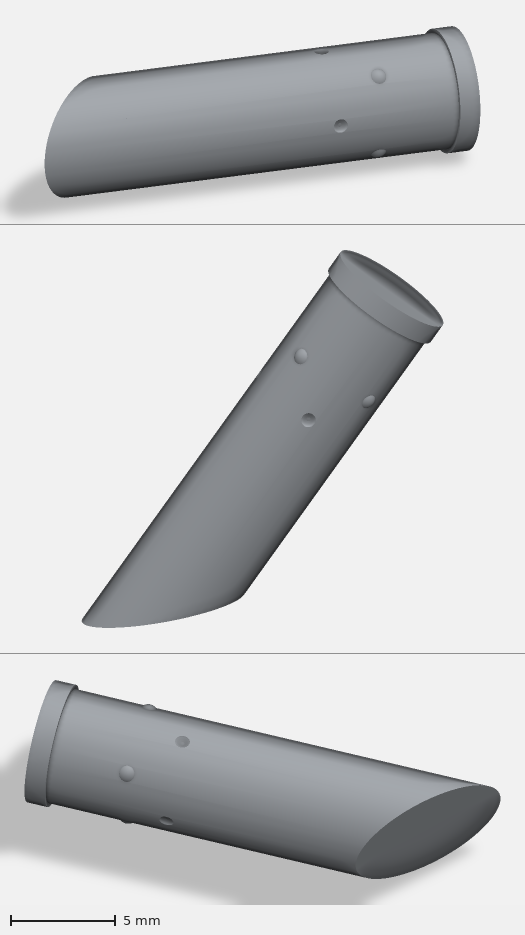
import cadquery as cq
import math

length = 22.0
flange_diameter = 6.0
flange_thickness = 1.01
body_diameter = 5.6
bevel_angle = 45.0

bump_distance = 4.8
bump_diameter = 0.8
bump_height = 0.15
dimple_distance = 7.0
dimple_diameter = 0.7
dimple_floor_diameter = 0.2
dimple_depth = 0.18
features_around = 4

body_radius = body_diameter / 2
bevel_length = body_diameter / math.tan(math.radians(bevel_angle))


def stepped_body():
    """Round rod with a thin flange at its +Y end, starting at Y = 0."""
    rod = cq.Workplane("XZ").circle(body_radius).extrude(-length)
    flange = (
        cq.Workplane("XZ", origin=(0, length, 0))
        .circle(flange_diameter / 2)
        .extrude(flange_thickness)
    )
    return rod.union(flange)


def bevel_cutter():
    """Wedge that slants the -Y end, leaving its tip on the +X side."""
    return (
        cq.Workplane("XY")
        .moveTo(-body_radius, 0)
        .lineTo(body_radius, 0)
        .lineTo(-body_radius, bevel_length)
        .close()
        .extrude(body_diameter, both=True)
    )


def bump():
    """Ball whose cap stands out of the rod on its +Z side."""
    rim_radius = bump_diameter / 2
    rim_level = math.sqrt(body_radius**2 - rim_radius**2)
    cap_height = body_radius + bump_height - rim_level
    ball_radius = (rim_radius**2 + cap_height**2) / (2 * cap_height)
    center_level = body_radius + bump_height - ball_radius
    ball = cq.Workplane("XY").sphere(ball_radius)
    return ball.translate((0, length - bump_distance, center_level))


def dimple_cutter():
    """Ball, cut flat underneath, that sinks a shallow bowl into the +Z side of the rod."""
    rim_radius = dimple_diameter / 2
    floor_radius = dimple_floor_diameter / 2
    center_height = (rim_radius**2 - floor_radius**2 - dimple_depth**2) / (2 * dimple_depth)
    ball_radius = math.hypot(rim_radius, center_height)
    floor_latitude = -math.degrees(math.acos(floor_radius / ball_radius))
    ball = cq.Workplane("XY").sphere(ball_radius, angle1=floor_latitude)
    return ball.translate((0, length - dimple_distance, body_radius + center_height))


def turned(shape, angle):
    """Turn a shape about the rod's axis."""
    return shape.rotate((0, 0, 0), (0, 1, 0), angle)


result = stepped_body().cut(bevel_cutter())

pitch = 360 / features_around
for index in range(features_around):
    result = result.union(turned(bump(), (index + 0.5) * pitch))
    result = result.cut(turned(dimple_cutter(), index * pitch))